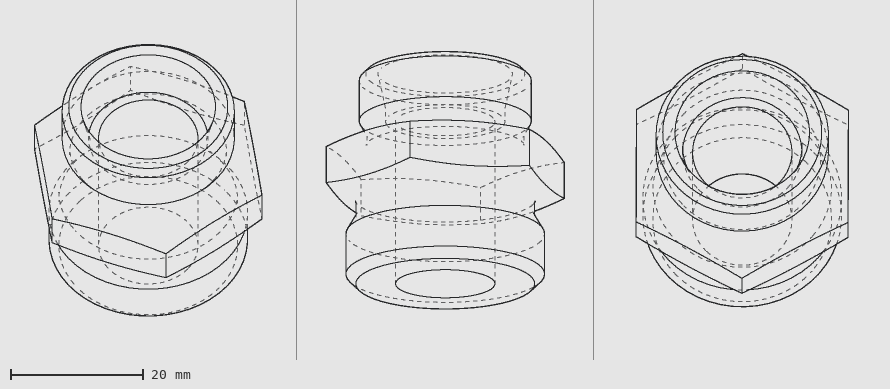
import cadquery as cq
import math

TOTAL_HEIGHT = 33.0
HEX_BOTTOM = 14.0
HEX_HEIGHT = 7.0
HEX_TOP = HEX_BOTTOM + HEX_HEIGHT

HEX_ACROSS_FLATS = 32.0
HEX_ACROSS_CORNERS = HEX_ACROSS_FLATS / math.cos(math.radians(30))
HEX_CHAMFER_ANGLE = math.radians(15)

UNDERCUT_FLANK_ANGLE = math.radians(30)

UPPER_DIAMETER = 26.0
UPPER_CHAMFER = 1.0
UPPER_UNDERCUT_DIAMETER = 23.7
UPPER_UNDERCUT_WIDTH = 2.6
UPPER_UNDERCUT_RADIUS = 1.0

LOWER_DIAMETER = 30.0
LOWER_CHAMFER = 1.5
LOWER_UNDERCUT_DIAMETER = 27.0
LOWER_UNDERCUT_WIDTH = 3.5
LOWER_UNDERCUT_RADIUS = 1.2

BORE_DIAMETER = 15.0
SOCKET_DIAMETER = 18.0
SOCKET_DEPTH = 7.5
SOCKET_MOUTH_DIAMETER = 20.3
SOCKET_CONE_ANGLE = math.radians(12)


def make_hexagon():
    """Hexagonal collar with its corners trimmed at both faces."""
    hexagon = (
        cq.Workplane("XY")
        .workplane(offset=HEX_BOTTOM)
        .polygon(6, HEX_ACROSS_CORNERS)
        .extrude(HEX_HEIGHT)
        .rotate((0, 0, 0), (0, 0, 1), 30)
    )
    face_radius = HEX_ACROSS_FLATS / 2
    middle_radius = face_radius + HEX_HEIGHT / 2 / math.tan(HEX_CHAMFER_ANGLE)
    trimming_cone = (
        cq.Workplane("XZ")
        .moveTo(0, HEX_BOTTOM)
        .lineTo(face_radius, HEX_BOTTOM)
        .lineTo(middle_radius, HEX_BOTTOM + HEX_HEIGHT / 2)
        .lineTo(face_radius, HEX_TOP)
        .lineTo(0, HEX_TOP)
        .close()
        .revolve(360, (0, 0), (0, 1))
    )
    return hexagon.intersect(trimming_cone)


def make_threaded_end(base, tip, diameter, chamfer, undercut_diameter, undercut_width, fillet):
    """Turned end from the hexagon face at z = base to the end face at z = tip."""
    direction = math.copysign(1, tip - base)
    radius = diameter / 2
    neck = undercut_diameter / 2
    half_turn = UNDERCUT_FLANK_ANGLE / 2

    corner = undercut_width
    tangent_length = fillet * math.tan(half_turn)
    blend_start = corner - tangent_length
    blend_middle = blend_start + fillet * math.sin(half_turn)
    blend_end = blend_start + fillet * math.sin(UNDERCUT_FLANK_ANGLE)
    blend_middle_radius = neck + fillet * (1 - math.cos(half_turn))
    blend_end_radius = neck + fillet * (1 - math.cos(UNDERCUT_FLANK_ANGLE))
    flank_end = corner + (radius - neck) / math.tan(UNDERCUT_FLANK_ANGLE)

    root_middle = fillet * (1 - math.cos(math.radians(45)))

    def point(r, height):
        return (r, base + direction * height)

    return (
        cq.Workplane("XZ")
        .moveTo(0, base)
        .lineTo(neck + fillet, base)
        .threePointArc(point(neck + root_middle, root_middle), point(neck, fillet))
        .lineTo(*point(neck, blend_start))
        .threePointArc(point(blend_middle_radius, blend_middle), point(blend_end_radius, blend_end))
        .lineTo(*point(radius, flank_end))
        .lineTo(radius, tip - direction * chamfer)
        .lineTo(radius - chamfer, tip)
        .lineTo(0, tip)
        .close()
        .revolve(360, (0, 0), (0, 1))
    )


def make_bore():
    """Through bore with a flat-bottomed tube socket and a conical mouth."""
    bore_radius = BORE_DIAMETER / 2
    socket_radius = SOCKET_DIAMETER / 2
    mouth_radius = SOCKET_MOUTH_DIAMETER / 2
    socket_floor = TOTAL_HEIGHT - SOCKET_DEPTH
    cone_depth = (mouth_radius - socket_radius) / math.tan(SOCKET_CONE_ANGLE)
    return (
        cq.Workplane("XZ")
        .moveTo(0, 0)
        .lineTo(bore_radius, 0)
        .lineTo(bore_radius, socket_floor)
        .lineTo(socket_radius, socket_floor)
        .lineTo(socket_radius, TOTAL_HEIGHT - cone_depth)
        .lineTo(mouth_radius, TOTAL_HEIGHT)
        .lineTo(0, TOTAL_HEIGHT)
        .close()
        .revolve(360, (0, 0), (0, 1))
    )


upper_end = make_threaded_end(
    HEX_TOP,
    TOTAL_HEIGHT,
    UPPER_DIAMETER,
    UPPER_CHAMFER,
    UPPER_UNDERCUT_DIAMETER,
    UPPER_UNDERCUT_WIDTH,
    UPPER_UNDERCUT_RADIUS,
)
lower_end = make_threaded_end(
    HEX_BOTTOM,
    0,
    LOWER_DIAMETER,
    LOWER_CHAMFER,
    LOWER_UNDERCUT_DIAMETER,
    LOWER_UNDERCUT_WIDTH,
    LOWER_UNDERCUT_RADIUS,
)

result = make_hexagon().union(upper_end).union(lower_end).cut(make_bore())